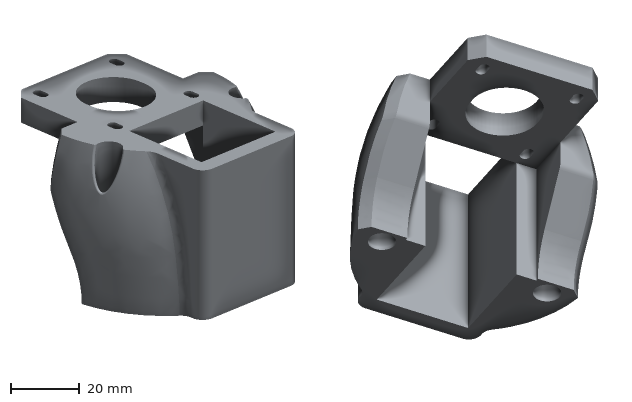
import cadquery as cq
import math


length = 77.9
width = 73.38
height = 48.0

plate_width = 43.0
plate_thickness = 8.0
plate_chamfer = 4.0
plate_left = -plate_width / 2

slide = 2.0
pilot_diameter = 22.0
screw_spacing = 31.0
screw_diameter = 3.2

bore = 30.1
tube_width = 40.0
tube_corner = 4.0
bore_left = 20.9
bore_center_x = bore_left + bore / 2
tube_right = plate_left + length

wing_radius = 40.3
wing_center_x = 17.0
wing_center_y = width / 2 - wing_radius
drift_radius_x = 170.0
drift_level_x = -54.0
drift_radius_y = 76.0
widest_level = -29.0
wing_section_count = 7
tube_blend = 4.0

wing_left = 5.95
edge_base_x = 19.9
edge_arc_radius = 29.6
edge_slope = math.radians(30.5)
edge_knee_radius = 4.0
edge_chamfer = 2.95

rod_diameter = 8.3
rod_x = 24.9
rod_y = 27.2
rod_rim = 0.6
rod_seam_angle = -120.0

pick_margin = 0.5


def arc_drift(level, reference, radius):
    """How far an arc, upright at the reference level, has moved inward at a level."""
    return radius - math.sqrt(radius**2 - (level - reference)**2)


def wing_center(level):
    """Center of the wing's horizontal outer arc at a level."""
    base_drift = arc_drift(-height, drift_level_x, drift_radius_x)
    x = wing_center_x + base_drift - arc_drift(level, drift_level_x, drift_radius_x)
    rise = max(level, widest_level)
    y = wing_center_y - arc_drift(rise, widest_level, drift_radius_y)
    return x, y


def wing_outer_y(x, level):
    """Y of the wing's outer face at a given X and level."""
    center_x, center_y = wing_center(level)
    return center_y + math.sqrt(wing_radius**2 - (x - center_x)**2)


def wing_outer_x(y, level):
    """X of the wing's outer face at a given Y and level."""
    center_x, center_y = wing_center(level)
    return center_x + math.sqrt(wing_radius**2 - (y - center_y)**2)


edge_bend = -height + edge_arc_radius * math.sin(edge_slope)
edge_bend_x = edge_base_x - edge_arc_radius * (1 - math.cos(edge_slope))
edge_knee = edge_bend + (edge_bend_x - wing_left) / math.tan(edge_slope)
knee_tangent = edge_knee_radius * math.tan(edge_slope / 2)
knee_top = edge_knee + knee_tangent
knee_base = edge_knee - knee_tangent * math.cos(edge_slope)


def edge_x(level):
    """X of the wing's free edge at a level."""
    if level >= knee_top:
        return wing_left
    if level >= knee_base:
        return wing_left + arc_drift(level, knee_top, edge_knee_radius)
    if level >= edge_bend:
        return wing_left + (edge_knee - level) * math.tan(edge_slope)
    return edge_base_x - arc_drift(level, -height, edge_arc_radius)


def make_plate():
    return (
        cq.Workplane("XY")
        .box(bore_left - plate_left, plate_width, plate_thickness, centered=(False, True, False))
        .translate((plate_left, 0, -plate_thickness))
        .edges("|Z and <X")
        .chamfer(plate_chamfer)
    )


def make_half_tube():
    return (
        cq.Workplane("XY")
        .box(tube_right - wing_left, tube_width / 2, height, centered=False)
        .translate((wing_left, 0, -height))
        .edges("|Z and >X and >Y")
        .fillet(tube_corner)
    )


def wing_blank():
    """Block under the curved outer face, from the middle of the part outward."""
    sections = cq.Workplane("XY")
    previous = 0.0
    for index in range(wing_section_count):
        level = -height * index / (wing_section_count - 1)
        right = wing_outer_x(0, level)
        middle = (wing_left + right) / 2
        sections = (
            sections.workplane(offset=level - previous)
            .moveTo(wing_left, 0)
            .lineTo(wing_left, wing_outer_y(wing_left, level))
            .threePointArc((middle, wing_outer_y(middle, level)), (right, 0))
            .close()
        )
        previous = level
    blank = sections.loft(combine=True)
    flat_side_end = tube_right - tube_corner
    limit = cq.Workplane("XY").box(flat_side_end - wing_left, width, height, centered=False)
    return blank.intersect(limit.translate((wing_left, 0, -height)))


def free_edge_trim():
    """Everything to the right of the wing's free edge."""
    mid_slope = edge_slope / 2
    arc_middle = (
        edge_base_x - edge_arc_radius * (1 - math.cos(mid_slope)),
        -height + edge_arc_radius * math.sin(mid_slope),
    )
    knee_mid = (knee_top + knee_base) / 2
    return (
        cq.Workplane("XZ")
        .moveTo(wing_left, 0)
        .lineTo(wing_left, knee_top)
        .threePointArc((edge_x(knee_mid), knee_mid), (edge_x(knee_base), knee_base))
        .lineTo(edge_bend_x, edge_bend)
        .threePointArc(arc_middle, (edge_base_x, -height))
        .lineTo(tube_right, -height)
        .lineTo(tube_right, 0)
        .close()
        .extrude(-width)
    )


def chamfer_offset(level):
    """Position, across the 45 degree direction, of the free edge chamfer at a level."""
    x = edge_x(level) + edge_chamfer
    return (wing_outer_y(x, level) - x) / math.sqrt(2)


def free_edge_chamfer():
    """Everything inside the 45 degree chamfer along the outer corner of the free edge."""
    plane = cq.Plane(origin=(0, 0, 0), xDir=(-1, 1, 0), normal=(1, 1, 0))
    stretches = [0, knee_top, knee_base, edge_bend, -height]
    steps = 4
    outline = cq.Workplane(plane).moveTo(-length, 0).lineTo(chamfer_offset(0), 0)
    for start, end in zip(stretches, stretches[1:]):
        levels = [start + (end - start) * step / steps for step in range(1, steps + 1)]
        points = [(chamfer_offset(level), level) for level in levels]
        outline = outline.spline(points, includeCurrent=True)
    return outline.lineTo(-length, -height).close().extrude(length, both=True)


def make_wing():
    return wing_blank().intersect(free_edge_trim()).intersect(free_edge_chamfer())


def motor_openings():
    pilot = cq.Workplane("XY").slot2D(pilot_diameter + slide, pilot_diameter)
    screws = (
        cq.Workplane("XY")
        .rect(screw_spacing, screw_spacing, forConstruction=True)
        .vertices()
        .slot2D(screw_diameter + slide, screw_diameter)
    )
    return pilot.extrude(-plate_thickness).union(screws.extrude(-plate_thickness))


def motor_pocket():
    """Room for the motor body below the plate, open to the tube bore."""
    return (
        cq.Workplane("XY")
        .box(bore_left - plate_left, plate_width, height - plate_thickness, centered=(False, True, False))
        .translate((plate_left, 0, -height))
    )


def tube_bore():
    return cq.Workplane("XY").center(bore_center_x, 0).rect(bore, bore).extrude(-height)


def rod_hole():
    """Upright hole, turned so that its seam line stays clear of the wing's outer face."""
    return (
        cq.Workplane("XY")
        .center(rod_x, rod_y)
        .transformed(rotate=(0, 0, rod_seam_angle))
        .circle(rod_diameter / 2)
        .extrude(-height)
    )


def spline_edges_within(body, low, high):
    """Spline edges of a body whose centers lie in the box between two corners."""
    return body.edges("%BSPLINE").edges(cq.selectors.BoxSelector(low, high))


def blend_wing_into_tube(body):
    """Round the inner corner where the wing's outer face meets the side of the tube."""
    side = tube_width / 2
    low = (bore_left, side - pick_margin, -height + pick_margin)
    high = (tube_right, side + pick_margin, -pick_margin)
    return spline_edges_within(body, low, high).fillet(tube_blend)


def round_rod_rim(body):
    """Round the edge where the rod hole breaks out through the wing's outer face."""
    reach = rod_diameter / 2
    low = (rod_x - reach, rod_y - reach, -height / 2)
    high = (rod_x + reach, rod_y + reach, -pick_margin)
    return spline_edges_within(body, low, high).fillet(rod_rim)


def make_half_body():
    """Tube side and wing on the +Y side of the part."""
    half = blend_wing_into_tube(make_half_tube().union(make_wing()))
    return round_rod_rim(half.cut(rod_hole()))


half_body = make_half_body()
body = half_body.union(half_body.mirror("XZ")).union(make_plate())
result = body.cut(motor_pocket()).cut(tube_bore()).cut(motor_openings())